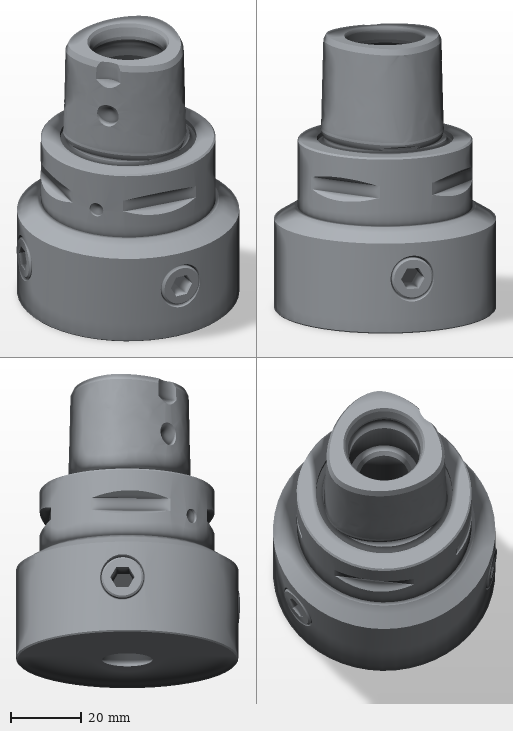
import cadquery as cq
import math

TOTAL_HEIGHT = 80.0
BODY_RADIUS = 31.8
BODY_TOP_Z = 26.5
SHOULDER_Z = 30.0
SHOULDER_RADIUS = 26.0
BASE_CHAMFER = 0.4
FLANGE_RADIUS = 50.0 / 2
FLANGE_TOP_Z = 50.0
FLANGE_CHAMFER = 0.5

SHANK_ECCENTRICITY = 1.1
RIDGE_DIAMETER = 35.3
RIDGE_BOTTOM_Z = 52.1
RIDGE_TOP_Z = 52.8
TAPER_BASE_DIAMETER = 35.0
TAPER_RATIO = 1 / 20
TAPER_END_Z = 78.3
TAPER_END_DIAMETER = TAPER_BASE_DIAMETER - TAPER_RATIO * (TAPER_END_Z - RIDGE_TOP_Z)
SHANK_TIP_DIAMETER = 32.2
NECK_DIAMETER = 34.2
LOBE_COUNT = 3
OUTLINE_STEPS = 48

BOSS_TOP_Z = 50.3
GROOVE_OUTER_RADIUS = 19.5
GROOVE_INNER_RADIUS = 17.6
GROOVE_FILLET = GROOVE_OUTER_RADIUS - GROOVE_INNER_RADIUS
GROOVE_FILLET_TOP_Z = 50.6
LOBE_TRIM_Z = 51.0

MOUTH_RADIUS = 11.7
MOUTH_CHAMFER_Z = 79.0
SOCKET_RADIUS = 11.1
SOCKET_BOTTOM_Z = 76.5
LIP_RADIUS = 10.4
LIP_BOTTOM_Z = 75.5
UNDERCUT_RADIUS = 11.6
UNDERCUT_FILLET = 1.6
UNDERCUT_WALL_TOP_Z = 73.6
UNDERCUT_WALL_BOTTOM_Z = 73.0
THREAD_RADIUS = 10.0
THREAD_BOTTOM_Z = 60.0
BORE_CHAMFER_RADIUS = 8.2
BORE_RADIUS = 7.2

NOTCH_RADIUS = 5.8
NOTCH_INNER_Y = -14.2
NOTCH_BOTTOM_Z = 74.6
NOTCH_HALF_ANGLE = 42.0

SHANK_DIMPLE_RADIUS = 3.3
SHANK_DIMPLE_Z = 64.2
SHANK_DIMPLE_BOTTOM_Y = -15.4
SHANK_DIMPLE_TILT = 15.0
FLANGE_DIMPLE_RADIUS = 2.1
FLANGE_DIMPLE_Z = 38.0
FLANGE_DIMPLE_BOTTOM_Y = -24.0
DRILL_HALF_ANGLE = 59.0

POCKET_COUNT = 4
POCKET_START_ANGLE = 45.0
POCKET_Z = 40.0
POCKET_FLOOR_DISTANCE = 22.2
POCKET_STEP = 0.3
POCKET_FLOOR_HEIGHT = 3.7
POCKET_MOUTH_HEIGHT = 6.9

SCREW_ANGLES = (90.0, -40.0, -140.0)
SCREW_Z = 16.0
SCREW_RADIUS = 6.0
COUNTERSINK_RADIUS = 6.7
COUNTERSINK_DEPTH = 1.6
SCREW_FACE_RADIUS = 5.5
SCREW_LENGTH = 16.0
HEX_ACROSS_FLATS = 6.0
HEX_DEPTH = 8.0


def lobed_point(angle, diameter):
    """Point on a constant-width three-lobed curve with one lobe toward +Y."""
    radial = diameter / 2 + SHANK_ECCENTRICITY * math.cos(LOBE_COUNT * angle)
    sideways = -LOBE_COUNT * SHANK_ECCENTRICITY * math.sin(LOBE_COUNT * angle)
    x = radial * math.cos(angle) - sideways * math.sin(angle)
    y = radial * math.sin(angle) + sideways * math.cos(angle)
    return (-y, x)


def lobed_outline(diameter, z):
    """Closed wire along the lobed curve at one height."""
    angles = [2 * math.pi * step / OUTLINE_STEPS for step in range(OUTLINE_STEPS)]
    points = [cq.Vector(*lobed_point(angle, diameter), z) for angle in angles]
    return cq.Wire.assembleEdges([cq.Edge.makeSpline(points, periodic=True)])


def lobed_section(lower_diameter, upper_diameter, lower_z, upper_z):
    """Lobed slice whose diameter changes evenly from one height to the other."""
    outlines = [lobed_outline(lower_diameter, lower_z), lobed_outline(upper_diameter, upper_z)]
    return cq.Workplane(cq.Solid.makeLoft(outlines, True))


def revolved(points):
    """Solid turned about Z from (radius, height) points."""
    return cq.Workplane("XZ").polyline(points).close().revolve(360, (0, 0, 0), (0, 1, 0))


def turned_body():
    return revolved([
        (0, 0),
        (BODY_RADIUS - BASE_CHAMFER, 0),
        (BODY_RADIUS, BASE_CHAMFER),
        (BODY_RADIUS, BODY_TOP_Z),
        (SHOULDER_RADIUS, SHOULDER_Z),
        (FLANGE_RADIUS, SHOULDER_Z),
        (FLANGE_RADIUS, FLANGE_TOP_Z - FLANGE_CHAMFER),
        (FLANGE_RADIUS - FLANGE_CHAMFER, FLANGE_TOP_Z),
        (0, FLANGE_TOP_Z),
    ])


def foot_boss():
    boss_height = BOSS_TOP_Z - FLANGE_TOP_Z
    return cq.Workplane("XY", origin=(0, 0, FLANGE_TOP_Z)).circle(GROOVE_OUTER_RADIUS).extrude(boss_height)


def groove():
    """Ring groove with a filleted inner wall that continues upward through the lobes."""
    floor_z = GROOVE_FILLET_TOP_Z - GROOVE_FILLET
    inset = GROOVE_FILLET * (1 - math.sqrt(0.5))
    return (
        cq.Workplane("XZ")
        .moveTo(GROOVE_INNER_RADIUS, LOBE_TRIM_Z)
        .lineTo(GROOVE_INNER_RADIUS, GROOVE_FILLET_TOP_Z)
        .threePointArc((GROOVE_INNER_RADIUS + inset, floor_z + inset), (GROOVE_OUTER_RADIUS, floor_z))
        .lineTo(GROOVE_OUTER_RADIUS, RIDGE_BOTTOM_Z)
        .close()
        .revolve(360, (0, 0, 0), (0, 1, 0))
    )


def shank():
    return (
        lobed_section(NECK_DIAMETER, RIDGE_DIAMETER, BOSS_TOP_Z, RIDGE_BOTTOM_Z)
        .union(lobed_section(RIDGE_DIAMETER, TAPER_BASE_DIAMETER, RIDGE_BOTTOM_Z, RIDGE_TOP_Z))
        .union(lobed_section(TAPER_BASE_DIAMETER, TAPER_END_DIAMETER, RIDGE_TOP_Z, TAPER_END_Z))
        .union(lobed_section(TAPER_END_DIAMETER, SHANK_TIP_DIAMETER, TAPER_END_Z, TOTAL_HEIGHT))
    )


def bore():
    """Mouth, tapered socket, lip, rounded undercut, thread bore and through bore."""
    eighth = math.radians(45)
    narrowing = UNDERCUT_FILLET * (1 - math.cos(eighth))
    arc_height = UNDERCUT_FILLET * math.sin(eighth)
    cone_radius = UNDERCUT_RADIUS - narrowing
    mid_radius = UNDERCUT_RADIUS - UNDERCUT_FILLET * (1 - math.cos(eighth / 2))
    mid_height = UNDERCUT_FILLET * math.sin(eighth / 2)
    upper_arc_z = UNDERCUT_WALL_TOP_Z + arc_height
    lower_arc_z = UNDERCUT_WALL_BOTTOM_Z - arc_height
    return (
        cq.Workplane("XZ")
        .moveTo(0, TOTAL_HEIGHT)
        .lineTo(MOUTH_RADIUS, TOTAL_HEIGHT)
        .lineTo(SOCKET_RADIUS, MOUTH_CHAMFER_Z)
        .lineTo(LIP_RADIUS, SOCKET_BOTTOM_Z)
        .lineTo(LIP_RADIUS, LIP_BOTTOM_Z)
        .lineTo(cone_radius, upper_arc_z)
        .threePointArc((mid_radius, UNDERCUT_WALL_TOP_Z + mid_height), (UNDERCUT_RADIUS, UNDERCUT_WALL_TOP_Z))
        .lineTo(UNDERCUT_RADIUS, UNDERCUT_WALL_BOTTOM_Z)
        .threePointArc((mid_radius, UNDERCUT_WALL_BOTTOM_Z - mid_height), (cone_radius, lower_arc_z))
        .lineTo(THREAD_RADIUS, lower_arc_z - (cone_radius - THREAD_RADIUS))
        .lineTo(THREAD_RADIUS, THREAD_BOTTOM_Z)
        .lineTo(BORE_CHAMFER_RADIUS, THREAD_BOTTOM_Z)
        .lineTo(BORE_RADIUS, THREAD_BOTTOM_Z - (BORE_CHAMFER_RADIUS - BORE_RADIUS))
        .lineTo(BORE_RADIUS, 0)
        .lineTo(0, 0)
        .close()
        .revolve(360, (0, 0, 0), (0, 1, 0))
    )


def notch():
    """Vertical drilled notch with a conical bottom."""
    cone_height = NOTCH_RADIUS / math.tan(math.radians(NOTCH_HALF_ANGLE))
    return revolved([
        (0, NOTCH_BOTTOM_Z - cone_height),
        (NOTCH_RADIUS, NOTCH_BOTTOM_Z),
        (NOTCH_RADIUS, TOTAL_HEIGHT),
        (0, TOTAL_HEIGHT),
    ]).translate((0, NOTCH_INNER_Y - NOTCH_RADIUS, 0))


def dimple(radius, z, bottom_y, tilt=0):
    """Drilled hole from -Y; its drill point starts on the axis at bottom_y and z."""
    point = radius / math.tan(math.radians(DRILL_HALF_ANGLE))
    return (
        cq.Workplane("XY")
        .polyline([(0, -BODY_RADIUS), (radius, -BODY_RADIUS), (radius, 0), (0, point)])
        .close()
        .revolve(360, (0, 0, 0), (0, 1, 0))
        .rotate((0, 0, 0), (1, 0, 0), tilt)
        .translate((0, bottom_y, z))
    )


def grip_pocket(angle):
    """Pocket with a flat floor and sloped upper and lower walls."""
    half_floor = POCKET_FLOOR_HEIGHT / 2
    half_mouth = POCKET_MOUTH_HEIGHT / 2
    slope_start = POCKET_FLOOR_DISTANCE + POCKET_STEP
    return (
        cq.Workplane("XZ")
        .polyline([
            (POCKET_FLOOR_DISTANCE, POCKET_Z - half_floor),
            (slope_start, POCKET_Z - half_floor),
            (FLANGE_RADIUS, POCKET_Z - half_mouth),
            (FLANGE_RADIUS, POCKET_Z + half_mouth),
            (slope_start, POCKET_Z + half_floor),
            (POCKET_FLOOR_DISTANCE, POCKET_Z + half_floor),
        ])
        .close()
        .extrude(FLANGE_RADIUS, both=True)
        .rotate((0, 0, 0), (0, 0, 1), angle)
    )


def radial_plane(angle):
    """Sketch plane at the screw face, looking outward from the axis."""
    outward = (math.cos(math.radians(angle)), math.sin(math.radians(angle)), 0)
    origin = (BODY_RADIUS * outward[0], BODY_RADIUS * outward[1], SCREW_Z)
    return cq.Plane(origin=origin, xDir=(-outward[1], outward[0], 0), normal=outward)


def screw_hole(angle):
    """Blind hole for a set screw, with a steep countersink."""
    plane = radial_plane(angle)
    countersink = (
        cq.Workplane(plane)
        .circle(COUNTERSINK_RADIUS)
        .workplane(offset=-COUNTERSINK_DEPTH)
        .circle(SCREW_RADIUS)
        .loft()
    )
    return cq.Workplane(plane).circle(SCREW_RADIUS).extrude(-SCREW_LENGTH).union(countersink)


def set_screw(angle):
    """Set screw with a chamfered outer end and a hexagon socket."""
    plane = radial_plane(angle)
    hex_corners = HEX_ACROSS_FLATS / math.cos(math.pi / 6)
    socket = cq.Workplane(plane).polygon(6, hex_corners).extrude(-HEX_DEPTH)
    return (
        cq.Workplane(plane)
        .circle(SCREW_RADIUS)
        .extrude(-SCREW_LENGTH)
        .faces(cq.selectors.DirectionMinMaxSelector(plane.zDir, True))
        .chamfer(SCREW_RADIUS - SCREW_FACE_RADIUS)
        .cut(socket)
    )


def make_housing():
    housing = turned_body().union(foot_boss()).union(shank()).cut(groove())
    housing = housing.cut(bore()).cut(notch())
    housing = housing.cut(
        dimple(SHANK_DIMPLE_RADIUS, SHANK_DIMPLE_Z, SHANK_DIMPLE_BOTTOM_Y, SHANK_DIMPLE_TILT)
    )
    housing = housing.cut(dimple(FLANGE_DIMPLE_RADIUS, FLANGE_DIMPLE_Z, FLANGE_DIMPLE_BOTTOM_Y))
    for index in range(POCKET_COUNT):
        housing = housing.cut(grip_pocket(POCKET_START_ANGLE + index * 360 / POCKET_COUNT))
    for angle in SCREW_ANGLES:
        housing = housing.cut(screw_hole(angle))
    return housing


housing = make_housing()
set_screws = [set_screw(angle) for angle in SCREW_ANGLES]
result = cq.Compound.makeCompound([housing.val(), *[screw.val() for screw in set_screws]])